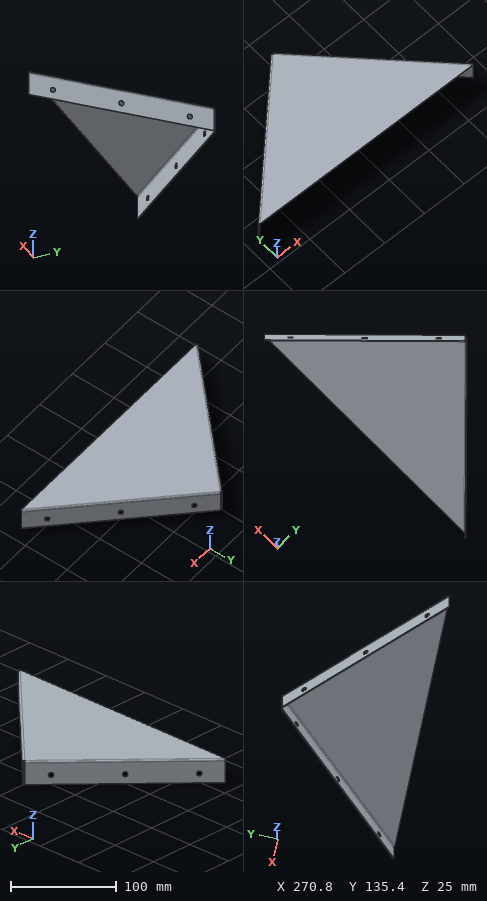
import cadquery as cq
import math

half_span = 134.0
height = 25.0
thickness = 1.0
bend_outer_radius = 2.0
hole_diameter = 5.0
hole_spacing = 70.0
hole_height = 10.0
holes_per_flange = 3

leg_length = half_span * math.sqrt(2)
bend_inner_radius = bend_outer_radius - thickness


def plate():
    """Flat right triangle with its long edge on the X axis and its apex on +Y."""
    return (
        cq.Workplane("XY")
        .workplane(offset=height - thickness)
        .polyline([(-half_span, 0), (0, half_span), (half_span, 0)])
        .close()
        .extrude(thickness)
    )


def left_flange():
    """Square-ended strip that bends down from the left leg of the plate, with its row of holes."""
    leg_end = cq.Plane(origin=(-half_span, 0, 0), xDir=(-1, 1, 0), normal=(1, 1, 0))
    bend_start = height - bend_outer_radius
    strip = (
        cq.Workplane(leg_end)
        .moveTo(0, height)
        .radiusArc((bend_outer_radius, bend_start), bend_outer_radius)
        .lineTo(bend_outer_radius, 0)
        .lineTo(bend_inner_radius, 0)
        .lineTo(bend_inner_radius, bend_start)
        .radiusArc((0, height - thickness), -bend_inner_radius)
        .close()
        .extrude(leg_length)
    )
    leg_middle = cq.Plane(
        origin=(-half_span / 2, half_span / 2, hole_height), xDir=(1, 1, 0), normal=(-1, 1, 0)
    )
    holes = (
        cq.Workplane(leg_middle)
        .rarray(hole_spacing, 1, holes_per_flange, 1)
        .circle(hole_diameter / 2)
        .extrude(bend_outer_radius)
    )
    return strip.cut(holes)


flange = left_flange()
result = plate().union(flange).union(flange.mirror("YZ"))